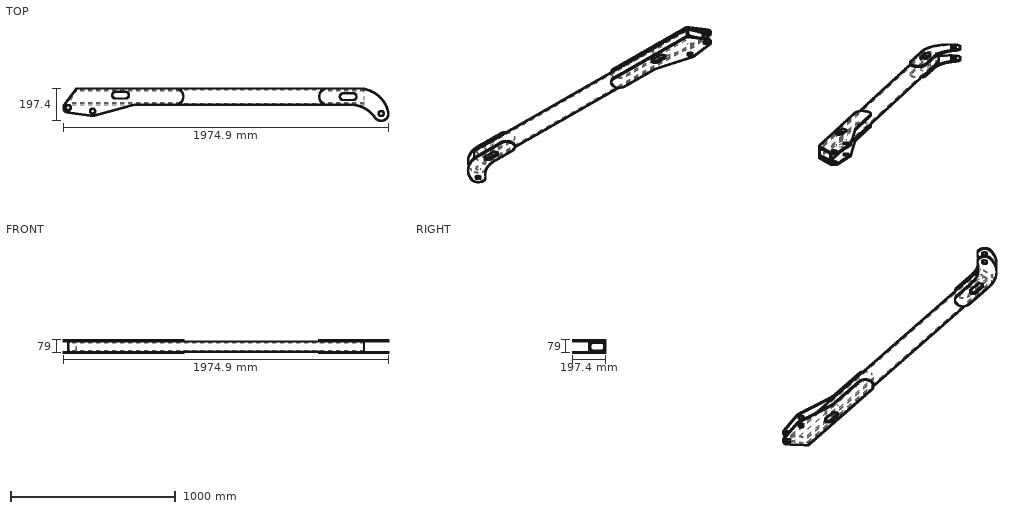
import cadquery as cq
import math

TOTAL_LENGTH = 1974.9
TOTAL_WIDTH = 197.38
TOTAL_HEIGHT = 79.0
PLATE_THICKNESS = 8.0

TUBE_WIDTH = 100.0
TUBE_HEIGHT = TOTAL_HEIGHT - 2 * PLATE_THICKNESS
TUBE_WALL = 9.0
TUBE_OUTER_RADIUS = 15.0
TUBE_INNER_RADIUS = 10.0
TUBE_TAIL_X = 30.0
TUBE_HEAD_X = 1827.0
EDGE_Y = TUBE_WIDTH / 2

PIN_DIAMETER = 30.0
SLOT_LENGTH = 100.0
SLOT_WIDTH = 40.0

TAIL_LOBE_RADIUS = 30.0
TAIL_END_PIN = (TAIL_LOBE_RADIUS, -67.0)
TAIL_INNER_PIN = (178.0, -87.5)
TAIL_CORNER_X = 81.0
TAIL_TAPER_X = 430.0
TAIL_BLEND_RADIUS = 100.0
TAIL_PLATE_END_X = 729.0
TAIL_SLOT_CENTER = (348.0, 9.0)

HEAD_LOBE_RADIUS = 45.0
HEAD_PIN = (TOTAL_LENGTH - HEAD_LOBE_RADIUS, EDGE_Y - TOTAL_WIDTH + HEAD_LOBE_RADIUS)
HEAD_PLATE_START_X = 1554.0
HEAD_OUTER_RADIUS = 185.0
HEAD_INNER_RADIUS = 180.0
HEAD_SLOT_CENTER = (1730.0, 0.0)


def polar(center, radius, angle):
    return (center[0] + radius * math.cos(angle), center[1] + radius * math.sin(angle))


def direction(start, end):
    """Angle of the line from start to end, in radians."""
    return math.atan2(end[1] - start[1], end[0] - start[0])


def tangent_point(point, center, radius, side):
    """Touch point on a circle of a line from an outside point; side picks which of the two."""
    distance = math.dist(point, center)
    return polar(center, radius, direction(center, point) + side * math.acos(radius / distance))


def tail_outline():
    """Two rounded pin lobes joined by tangents to a straight band with a semicircular end."""
    corner = (TAIL_CORNER_X, EDGE_Y)
    taper_corner = (TAIL_TAPER_X, -EDGE_Y)
    band_end_x = TAIL_PLATE_END_X - EDGE_Y
    pin_line_angle = direction(TAIL_END_PIN, TAIL_INNER_PIN)
    below = pin_line_angle - math.pi / 2
    slant_end = tangent_point(corner, TAIL_END_PIN, TAIL_LOBE_RADIUS, 1)
    taper_end = tangent_point(taper_corner, TAIL_INNER_PIN, TAIL_LOBE_RADIUS, -1)
    taper_slope = direction(taper_end, taper_corner)
    blend_reach = TAIL_BLEND_RADIUS * math.tan(taper_slope / 2)
    blend_end_x = TAIL_TAPER_X + blend_reach
    blend_center = (blend_end_x, -EDGE_Y - TAIL_BLEND_RADIUS)
    inner_lobe_middle = (direction(TAIL_INNER_PIN, taper_end) + below) / 2
    outline = (
        cq.Workplane("XY")
        .moveTo(*corner)
        .lineTo(*slant_end)
        .threePointArc(
            (TAIL_END_PIN[0] - TAIL_LOBE_RADIUS, TAIL_END_PIN[1]),
            polar(TAIL_END_PIN, TAIL_LOBE_RADIUS, below),
        )
        .lineTo(*polar(TAIL_INNER_PIN, TAIL_LOBE_RADIUS, below))
        .threePointArc(polar(TAIL_INNER_PIN, TAIL_LOBE_RADIUS, inner_lobe_middle), taper_end)
        .lineTo(*polar(taper_corner, -blend_reach, taper_slope))
        .threePointArc(
            polar(blend_center, TAIL_BLEND_RADIUS, (math.pi + taper_slope) / 2),
            (blend_end_x, -EDGE_Y),
        )
        .lineTo(band_end_x, -EDGE_Y)
        .threePointArc((TAIL_PLATE_END_X, 0), (band_end_x, EDGE_Y))
        .close()
    )
    return outline


def head_outline():
    """Straight band with a semicircular end, bent toward -Y by two arcs tangent to the pin lobe."""
    band_start_x = HEAD_PLATE_START_X + EDGE_Y
    outer_y = EDGE_Y - HEAD_OUTER_RADIUS
    outer_reach = HEAD_OUTER_RADIUS - HEAD_LOBE_RADIUS
    outer_x = HEAD_PIN[0] - math.sqrt(outer_reach**2 - (HEAD_PIN[1] - outer_y) ** 2)
    outer_center = (outer_x, outer_y)
    inner_y = -EDGE_Y - HEAD_INNER_RADIUS
    inner_reach = HEAD_INNER_RADIUS + HEAD_LOBE_RADIUS
    inner_x = HEAD_PIN[0] - math.sqrt(inner_reach**2 - (HEAD_PIN[1] - inner_y) ** 2)
    inner_center = (inner_x, inner_y)

    outer_angle = direction(outer_center, HEAD_PIN)
    inner_angle = direction(inner_center, HEAD_PIN)
    outline = (
        cq.Workplane("XY")
        .moveTo(band_start_x, EDGE_Y)
        .lineTo(outer_x, EDGE_Y)
        .threePointArc(
            polar(outer_center, HEAD_OUTER_RADIUS, (math.pi / 2 + outer_angle) / 2),
            polar(outer_center, HEAD_OUTER_RADIUS, outer_angle),
        )
        .threePointArc(
            (HEAD_PIN[0], HEAD_PIN[1] - HEAD_LOBE_RADIUS),
            polar(inner_center, HEAD_INNER_RADIUS, inner_angle),
        )
        .threePointArc(
            polar(inner_center, HEAD_INNER_RADIUS, (math.pi / 2 + inner_angle) / 2),
            (inner_x, -EDGE_Y),
        )
        .lineTo(band_start_x, -EDGE_Y)
        .threePointArc((HEAD_PLATE_START_X, 0), (band_start_x, EDGE_Y))
        .close()
    )
    return outline


def plate_pair(outline):
    """Matching plates above and below the tube."""
    upper = outline.extrude(PLATE_THICKNESS).translate((0, 0, TUBE_HEIGHT / 2))
    return upper.union(upper.mirror("XY"))


def tube_bar(width, height, radius):
    """Bar along X with rounded long edges, centered on the tube axis."""
    return (
        cq.Workplane("YZ")
        .rect(width, height)
        .extrude(TUBE_HEAD_X)
        .edges("|X")
        .fillet(radius)
    )


def tube():
    """Hollow tube whose tail end is cut back from the slanted corner of the tail plates."""
    outer = tube_bar(TUBE_WIDTH, TUBE_HEIGHT, TUBE_OUTER_RADIUS)
    bore = tube_bar(TUBE_WIDTH - 2 * TUBE_WALL, TUBE_HEIGHT - 2 * TUBE_WALL, TUBE_INNER_RADIUS)
    waste = (
        cq.Workplane("XY")
        .polyline([
            (0, -EDGE_Y),
            (TUBE_TAIL_X, -EDGE_Y),
            (TAIL_CORNER_X, EDGE_Y),
            (0, EDGE_Y),
        ])
        .close()
        .extrude(TUBE_HEIGHT / 2, both=True)
    )
    return outer.cut(bore).cut(waste)


def through_cutters():
    """Pin holes and slots, cut through the full height."""
    pins = (
        cq.Workplane("XY")
        .pushPoints([TAIL_END_PIN, TAIL_INNER_PIN, HEAD_PIN])
        .circle(PIN_DIAMETER / 2)
        .extrude(TOTAL_HEIGHT / 2, both=True)
    )
    slots = (
        cq.Workplane("XY")
        .pushPoints([TAIL_SLOT_CENTER, HEAD_SLOT_CENTER])
        .slot2D(SLOT_LENGTH, SLOT_WIDTH)
        .extrude(TOTAL_HEIGHT / 2, both=True)
    )
    return pins.union(slots)


result = (
    tube()
    .union(plate_pair(tail_outline()))
    .union(plate_pair(head_outline()))
    .cut(through_cutters())
)